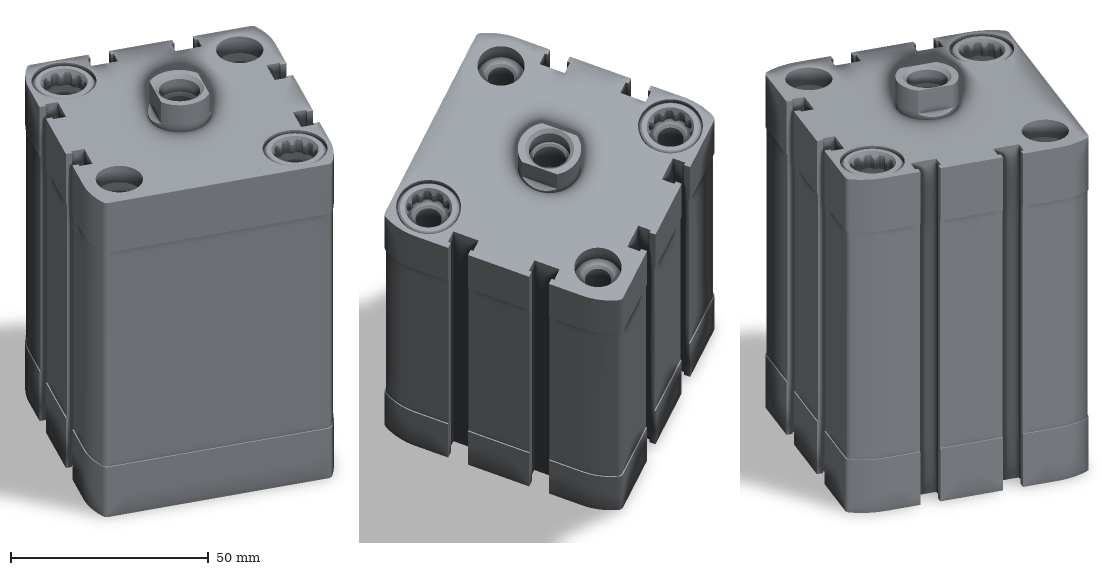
import cadquery as cq
import math

WIDTH = 65.5
TOTAL_HEIGHT = 104.0
ROD_REACH = 8.2
HOUSING_HEIGHT = TOTAL_HEIGHT - ROD_REACH
CAP_HEIGHT = 15.2
BARREL_INSET = 0.3

SHOULDER_X = 23.2
SIDE_CORNER_Y = 30.0
CORNER_RADIUS = 18.0
CORNER_FILLET = 1.5

SLOT_OFFSET = 11.1
SLOT_OPENING = 5.4
SLOT_LIP = 1.7
SLOT_INNER_WIDTH = 7.0
SLOT_DEPTH = 5.1

HOLE_OFFSET = 23.3
THROUGH_DIAMETER = 6.7
COUNTERSINK_DIAMETER = 8.0
COUNTERSINK_DEPTH = 0.6
SOCKET_DEPTH = 5.0
COUNTERBORE_DIAMETER = 12.0

HEAD_SEAT_DIAMETER = 16.4
HEAD_DIAMETER = 15.5
HEAD_CHAMFER = 0.5
HEAD_RECESS = 0.3
HEAD_GAP_DEPTH = 1.6
SPLINE_TIP_DIAMETER = 10.2
SPLINE_ROOT_DIAMETER = 11.2
SPLINE_MOUTH_DEPTH = 2.1
SPLINE_TEETH = 10
SPLINE_FIRST_ANGLE = 45.0
GROOVE_ROOT_WIDTH = 1.4
GROOVE_MOUTH_WIDTH = 2.5

ROD_DIAMETER = 16.0
ROD_SEAT_DEPTH = CAP_HEIGHT
ACROSS_FLATS = 12.8
FLAT_HEIGHT = 6.7
FLAT_RUNOUT = 0.8
ROD_BORE_DIAMETER = 10.5
ROD_BORE_DEPTH = 4.8
ROD_MOUTH_CHAMFER = 0.9
TAP_DIAMETER = 8.4
TAP_CHAMFER_DIAMETER = 9.5
TAP_CHAMFER_DEPTH = 0.6
TAP_DEPTH = 14.6
DRILL_POINT_ANGLE = 118.0

PLAIN_CORNERS = [(-HOLE_OFFSET, HOLE_OFFSET), (HOLE_OFFSET, -HOLE_OFFSET)]
SCREW_CORNERS = [(HOLE_OFFSET, HOLE_OFFSET), (-HOLE_OFFSET, -HOLE_OFFSET)]


def cylinder(diameter, bottom, top):
    """Upright cylinder on the Z axis."""
    return cq.Workplane("XY").workplane(offset=bottom).circle(diameter / 2).extrude(top - bottom)


def cone(bottom_diameter, top_diameter, bottom, top):
    """Upright truncated cone on the Z axis; a zero bottom diameter gives a point."""
    profile = [(0, bottom), (bottom_diameter / 2, bottom), (top_diameter / 2, top), (0, top)]
    if bottom_diameter == 0:
        profile.pop(0)
    return cq.Workplane("XZ").polyline(profile).close().revolve(360, (0, 0, 0), (0, 1, 0))


def section(half, bottom, height):
    """Square block whose four corners are wide arcs with a small fillet at the side walls."""
    right, left = half, -half
    outline = (
        cq.Workplane("XY").workplane(offset=bottom)
        .moveTo(-SHOULDER_X, half)
        .lineTo(SHOULDER_X, half)
        .radiusArc((right, SIDE_CORNER_Y), CORNER_RADIUS)
        .lineTo(right, -SIDE_CORNER_Y)
        .radiusArc((SHOULDER_X, -half), CORNER_RADIUS)
        .lineTo(-SHOULDER_X, -half)
        .radiusArc((left, -SIDE_CORNER_Y), CORNER_RADIUS)
        .lineTo(left, SIDE_CORNER_Y)
        .radiusArc((-SHOULDER_X, half), CORNER_RADIUS)
        .close()
    )
    return outline.extrude(height).faces("<X or >X").edges("|Z").fillet(CORNER_FILLET)


def t_slot():
    """Cutter for one T-slot in the -Y side, centred on X = 0."""
    wall = -WIDTH / 2
    opening = cq.Workplane("XY").center(0, wall + SLOT_DEPTH / 2).rect(SLOT_OPENING, SLOT_DEPTH)
    pocket_depth = SLOT_DEPTH - SLOT_LIP
    pocket_centre = wall + SLOT_LIP + pocket_depth / 2
    pocket = cq.Workplane("XY").center(0, pocket_centre).rect(SLOT_INNER_WIDTH, pocket_depth)
    return opening.extrude(HOUSING_HEIGHT).union(pocket.extrude(HOUSING_HEIGHT))


def corner_bore():
    """Cutter for a countersunk through hole below the socket floor."""
    floor = HOUSING_HEIGHT - SOCKET_DEPTH
    countersink = cone(THROUGH_DIAMETER, COUNTERSINK_DIAMETER, floor - COUNTERSINK_DEPTH, floor)
    return cylinder(THROUGH_DIAMETER, 0, floor).union(countersink)


def counterbored_hole():
    """Cutter for a corner without a screw head."""
    counterbore = cylinder(COUNTERBORE_DIAMETER, HOUSING_HEIGHT - SOCKET_DEPTH, HOUSING_HEIGHT)
    return corner_bore().union(counterbore)


def spline_socket():
    """Cutter for the splined socket of a screw head."""
    floor = HOUSING_HEIGHT - SOCKET_DEPTH
    head_top = HOUSING_HEIGHT - HEAD_RECESS
    mouth = head_top - SPLINE_MOUTH_DEPTH
    socket = cylinder(SPLINE_TIP_DIAMETER, floor, head_top)
    socket = socket.union(cone(SPLINE_TIP_DIAMETER, COUNTERBORE_DIAMETER, mouth, head_top))
    groove = (
        cq.Workplane("XY").workplane(offset=floor)
        .polyline([
            (0, -GROOVE_MOUTH_WIDTH / 2),
            (SPLINE_TIP_DIAMETER / 2, -GROOVE_MOUTH_WIDTH / 2),
            (SPLINE_ROOT_DIAMETER / 2, -GROOVE_ROOT_WIDTH / 2),
            (SPLINE_ROOT_DIAMETER / 2, GROOVE_ROOT_WIDTH / 2),
            (SPLINE_TIP_DIAMETER / 2, GROOVE_MOUTH_WIDTH / 2),
            (0, GROOVE_MOUTH_WIDTH / 2),
        ])
        .close()
        .extrude(head_top - floor)
    )
    for tooth in range(SPLINE_TEETH):
        angle = SPLINE_FIRST_ANGLE + tooth * 360 / SPLINE_TEETH
        socket = socket.union(groove.rotate((0, 0, 0), (0, 0, 1), angle))
    return socket


def screw_hole():
    """Cutter that leaves a recessed, chamfered screw head with a splined socket."""
    head_top = HOUSING_HEIGHT - HEAD_RECESS
    gap_floor = HOUSING_HEIGHT - HEAD_GAP_DEPTH
    seat = cylinder(HEAD_SEAT_DIAMETER, gap_floor, HOUSING_HEIGHT)
    head = cylinder(HEAD_DIAMETER, gap_floor, head_top).faces(">Z").chamfer(HEAD_CHAMFER)
    return seat.cut(head).union(spline_socket()).union(corner_bore())


def make_housing():
    """End caps and barrel in one piece, with slots, corner holes and the rod seat."""
    half = WIDTH / 2
    barrel_height = HOUSING_HEIGHT - 2 * CAP_HEIGHT
    housing = section(half, 0, CAP_HEIGHT)
    housing = housing.union(section(half - BARREL_INSET, CAP_HEIGHT, barrel_height))
    housing = housing.union(section(half, CAP_HEIGHT + barrel_height, CAP_HEIGHT))

    for side_angle in (0, 180, -90):
        for offset in (-SLOT_OFFSET, SLOT_OFFSET):
            slot = t_slot().translate((offset, 0, 0))
            housing = housing.cut(slot.rotate((0, 0, 0), (0, 0, 1), side_angle))

    for x, y in PLAIN_CORNERS:
        housing = housing.cut(counterbored_hole().translate((x, y, 0)))
    for x, y in SCREW_CORNERS:
        housing = housing.cut(screw_hole().translate((x, y, 0)))

    return housing.cut(cylinder(ROD_DIAMETER, HOUSING_HEIGHT - ROD_SEAT_DEPTH, HOUSING_HEIGHT))


def flat_cutter():
    """Cutter for the wrench flat on the +Y side, with a floor sloping down outwards."""
    flat_y = ACROSS_FLATS / 2
    rod_y = ROD_DIAMETER / 2
    floor = TOTAL_HEIGHT - FLAT_HEIGHT
    profile = [(flat_y, TOTAL_HEIGHT), (flat_y, floor), (rod_y, floor - FLAT_RUNOUT), (rod_y, TOTAL_HEIGHT)]
    return cq.Workplane("YZ").polyline(profile).close().extrude(ROD_DIAMETER / 2, both=True)


def tapped_bore():
    """Cutter for the stepped blind bore with a conical drill point."""
    top = TOTAL_HEIGHT
    step = top - ROD_BORE_DEPTH
    bottom = top - TAP_DEPTH
    point = TAP_DIAMETER / 2 / math.tan(math.radians(DRILL_POINT_ANGLE / 2))
    mouth_diameter = ROD_BORE_DIAMETER + 2 * ROD_MOUTH_CHAMFER
    bore = cylinder(ROD_BORE_DIAMETER, step, top)
    bore = bore.union(cone(ROD_BORE_DIAMETER, mouth_diameter, top - ROD_MOUTH_CHAMFER, top))
    bore = bore.union(cone(TAP_DIAMETER, TAP_CHAMFER_DIAMETER, step - TAP_CHAMFER_DEPTH, step))
    bore = bore.union(cylinder(TAP_DIAMETER, bottom, step))
    return bore.union(cone(0, TAP_DIAMETER, bottom - point, bottom))


def make_rod():
    """Piston rod with two wrench flats and a tapped bore."""
    rod = cylinder(ROD_DIAMETER, HOUSING_HEIGHT - ROD_SEAT_DEPTH, TOTAL_HEIGHT)
    flat = flat_cutter()
    rod = rod.cut(flat).cut(flat.mirror("XZ"))
    return rod.cut(tapped_bore())


housing = make_housing()
rod = make_rod()

result = cq.Compound.makeCompound([housing.val(), rod.val()])